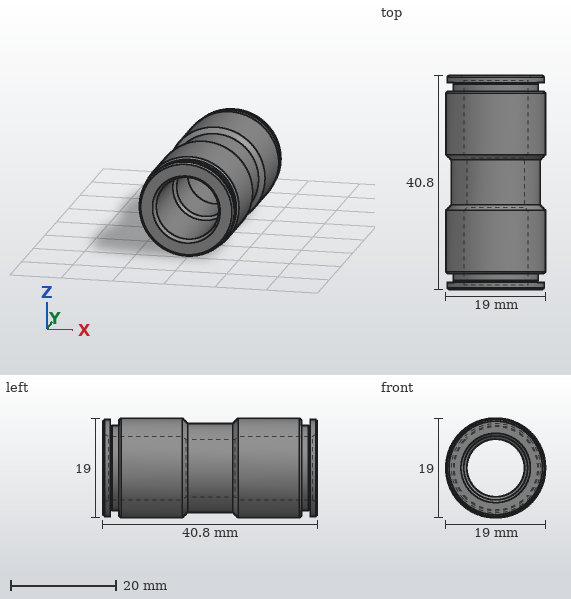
import cadquery as cq

length = 40.8
half_length = length / 2

body_radius = 9.5
waist_radius = 8.5
flange_radius = 9.25
collar_radius = 8.12

flange_thickness = 1.4
collar_start = 1.55
body_start = 3.0
shoulder_start = 15.1

flange_chamfer = 0.35
collar_chamfer = 0.2
body_chamfer = 0.4
shoulder_drop = body_radius - waist_radius

mouth_radius = 6.6
socket_radius = 6.1
through_radius = 5.45
mouth_depth = 0.98
socket_depth = 15.1
seat_depth = socket_radius - through_radius


def revolve_both_halves(half_outline):
    """Mirror a (radius, distance from end) outline about the middle plane and revolve it about Y."""
    far_half = [(radius, half_length - depth) for radius, depth in half_outline]
    near_half = [(radius, -y) for radius, y in reversed(far_half)]
    points = [(0, half_length)] + far_half + near_half + [(0, -half_length)]
    return cq.Workplane("XY").polyline(points).close().revolve(360, (0, 0, 0), (0, 1, 0))


def outer_shape():
    """Solid outer shape of the whole connector."""
    neck_radius = collar_radius - collar_chamfer
    outline = [
        (flange_radius - flange_chamfer, 0),
        (flange_radius, flange_chamfer),
        (flange_radius, flange_thickness),
        (neck_radius, flange_thickness),
        (neck_radius, collar_start),
        (collar_radius, collar_start + collar_chamfer),
        (collar_radius, body_start),
        (body_radius - body_chamfer, body_start),
        (body_radius, body_start + body_chamfer),
        (body_radius, shoulder_start),
        (waist_radius, shoulder_start + shoulder_drop),
    ]
    return revolve_both_halves(outline)


def stepped_bore():
    """Bore through the whole connector, with a tube socket at each end."""
    outline = [
        (mouth_radius, 0),
        (socket_radius, mouth_depth),
        (socket_radius, socket_depth),
        (through_radius, socket_depth + seat_depth),
    ]
    return revolve_both_halves(outline)


result = outer_shape().cut(stepped_bore())